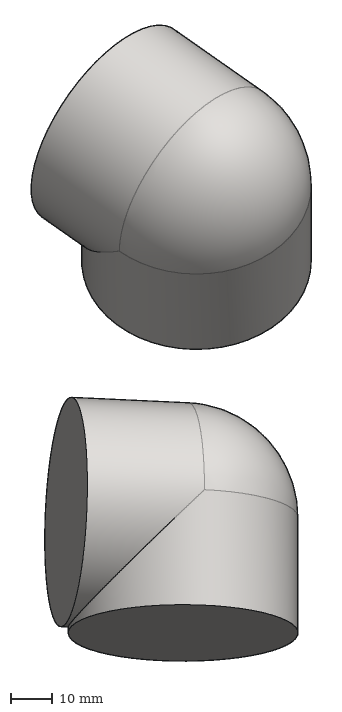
import cadquery as cq

overall_length = 57.0
diameter = 56.0

radius = diameter / 2
leg_length = overall_length - radius

horizontal_leg = cq.Workplane("YZ").circle(radius).extrude(-leg_length)
vertical_leg = cq.Workplane("XY").circle(radius).extrude(-leg_length)

corner_ball = cq.Workplane("XY").sphere(radius)

result = horizontal_leg.union(vertical_leg).union(corner_ball)